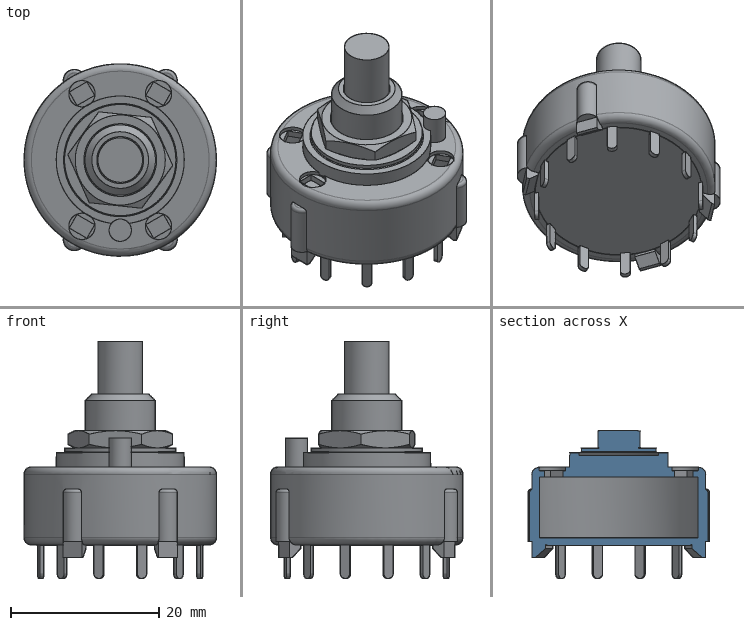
import cadquery as cq
import math

CUT_MARGIN = 0.32
JOINT = 0.32

housing_diameter = 26.0
housing_height = 10.53
housing_edge_radius = 1.0
housing_wall = 1.0
housing_floor = 1.0
base_plate_diameter = 22.45
base_plate_height = 0.1

flange_diameter = 17.28
flange_height = 1.92
flange_top = housing_height + flange_height
recess_diameter = 15.3
recess_depth = 0.32
recess_floor = flange_top - recess_depth

washer_diameter = 15.0
washer_thickness = 0.5
washer_lift = 0.1
washer_bottom = flange_top + washer_lift
washer_top = washer_bottom + washer_thickness
washer_seat_diameter = 10.3
nut_across_corners = 14.25
nut_height = 2.4
nut_angle = -6.0
nut_bore_diameter = 9.82
nut_face_diameter = 12.15
nut_chamfer_height = 0.5
nut_top = washer_top + nut_height

bushing_diameter = 9.5
bushing_top = 20.4
bushing_chamfer = 0.93
bushing_bore_diameter = 6.35
bushing_bore_depth = 1.0
shaft_diameter = 6.0
terminal_length = 4.55
total_height = 32.0
shaft_top = total_height - terminal_length

locator_diameter = 3.0
locator_distance = 9.47
locator_top = 14.4

clip_angles = [60, 120, 240, 300]
pocket_distance = 10.35
pocket_diameter = 3.55
pocket_depth = 0.5
window_length = 2.75
window_width = 2.1
window_depth = 0.85
boss_diameter = 3.0
boss_distance = 12.4
boss_bottom = 0.45
boss_top = 7.55
boss_edge_radius = 0.48
hook_width = 2.9
hook_outer_distance = 12.9
hook_bottom = -1.73
hook_tip_width = 0.4
hook_bevel_length = 1.2
hook_bevel_height = 1.25
hook_skew_angle = 9.0

cavity_diameter = housing_diameter - 2 * housing_wall
cavity_top = housing_height - pocket_depth - window_depth

terminal_count = 12
terminal_distance = 11.1
terminal_width = 1.3
terminal_thickness = 0.55


def cylinder(diameter, bottom, top):
    """Upright cylinder on the shaft axis."""
    return cq.Workplane("XY").workplane(offset=bottom).circle(diameter / 2).extrude(top - bottom)


def ring_copies(shape, angles):
    """Union of a shape built on the +X side, turned to each angle about the shaft axis."""
    copies = cq.Workplane("XY")
    for angle in angles:
        copies = copies.add(shape.rotate((0, 0, 0), (0, 0, 1), angle))
    return copies.combine()


def make_housing():
    """Hollow body with side bosses, flange, top pockets and a thin plate underneath."""
    housing = cylinder(housing_diameter, 0, housing_height)
    housing = housing.faces("<Z or >Z").edges().fillet(housing_edge_radius)
    bosses = ring_copies(make_boss(), clip_angles)
    cavity = cylinder(cavity_diameter, housing_floor, cavity_top)
    pockets = ring_copies(make_pocket(), clip_angles)
    base_plate = cylinder(base_plate_diameter, -base_plate_height, JOINT)
    flange = cylinder(flange_diameter, housing_height - JOINT, flange_top)
    recess = cylinder(recess_diameter, recess_floor, flange_top + CUT_MARGIN)
    hollow_body = housing.union(bosses).cut(cavity).cut(pockets)
    return hollow_body.union(base_plate).union(flange).cut(recess)


def make_washer():
    """Washer held just clear of the flange by a smaller seat in the recess."""
    seat = cylinder(washer_seat_diameter, recess_floor, washer_bottom)
    return cylinder(washer_diameter, washer_bottom, washer_top).union(seat)


def make_nut():
    """Hex nut whose corners are turned down to a cone at both faces."""
    hexagon = (
        cq.Workplane("XY")
        .workplane(offset=washer_top)
        .polygon(6, nut_across_corners)
        .extrude(nut_height)
        .rotate((0, 0, 0), (0, 0, 1), nut_angle)
    )
    face_radius = nut_face_diameter / 2
    corner_radius = nut_across_corners / 2
    turned_blank = (
        cq.Workplane("XZ")
        .moveTo(0, washer_top)
        .lineTo(face_radius, washer_top)
        .lineTo(corner_radius, washer_top + nut_chamfer_height)
        .lineTo(corner_radius, nut_top - nut_chamfer_height)
        .lineTo(face_radius, nut_top)
        .lineTo(0, nut_top)
        .close()
        .revolve(360, (0, 0, 0), (0, 1, 0))
    )
    bore = cylinder(nut_bore_diameter, washer_top, nut_top)
    return hexagon.intersect(turned_blank).cut(bore)


def make_bushing_and_shaft():
    bushing = cylinder(bushing_diameter, recess_floor - JOINT, bushing_top)
    bushing = bushing.faces(">Z").edges().chamfer(bushing_chamfer)
    bore_floor = bushing_top - bushing_bore_depth
    bore = cylinder(bushing_bore_diameter, bore_floor, bushing_top)
    shaft = cylinder(shaft_diameter, bore_floor - JOINT, shaft_top)
    return bushing.cut(bore).union(shaft)


def make_locator():
    locator = cylinder(locator_diameter, housing_height - JOINT, locator_top)
    return locator.translate((0, -locator_distance, 0))


def make_pocket():
    """Shallow round pocket with a deeper rectangular window in its floor."""
    floor = housing_height - pocket_depth
    round_part = cylinder(pocket_diameter, floor, housing_height + CUT_MARGIN)
    window = (
        cq.Workplane("XY")
        .workplane(offset=floor)
        .rect(window_width, window_length)
        .extrude(-window_depth)
    )
    return round_part.union(window).translate((pocket_distance, 0, 0))


def make_boss():
    boss = cylinder(boss_diameter, boss_bottom, boss_top)
    return boss.faces(">Z").edges().fillet(boss_edge_radius).translate((boss_distance, 0, 0))


def make_hook():
    """Clip end below a side boss, skewed in plan and bevelled on its inner side."""
    tip_inner = hook_outer_distance - hook_tip_width
    inner = tip_inner - hook_bevel_length
    side_profile = (
        cq.Workplane("XZ")
        .moveTo(hook_outer_distance, boss_bottom)
        .lineTo(hook_outer_distance, hook_bottom)
        .lineTo(tip_inner, hook_bottom)
        .lineTo(inner, hook_bottom + hook_bevel_height)
        .lineTo(inner, boss_bottom)
        .close()
        .extrude(hook_width, both=True)
    )
    half_width = hook_width / 2
    skew = (hook_outer_distance - inner) * math.tan(math.radians(hook_skew_angle))
    plan = (
        cq.Workplane("XY")
        .workplane(offset=hook_bottom)
        .moveTo(hook_outer_distance, half_width)
        .lineTo(inner, half_width - skew)
        .lineTo(inner, -half_width - skew)
        .lineTo(hook_outer_distance, -half_width)
        .close()
        .extrude(boss_bottom - hook_bottom)
    )
    return side_profile.intersect(plan)


def make_hooks():
    """Four hooks, mirrored about the XZ and YZ planes."""
    hook = ring_copies(make_hook(), clip_angles[:1])
    pair = hook.union(hook.mirror("XZ"))
    return pair.union(pair.mirror("YZ"))


def make_terminal():
    """Flat blade with a fully rounded tip."""
    half_width = terminal_width / 2
    return (
        cq.Workplane("YZ")
        .workplane(offset=terminal_distance - terminal_thickness / 2)
        .moveTo(-half_width, JOINT)
        .lineTo(-half_width, half_width - terminal_length)
        .threePointArc((0, -terminal_length), (half_width, half_width - terminal_length))
        .lineTo(half_width, JOINT)
        .close()
        .extrude(terminal_thickness)
    )


terminal_pitch = 360 / terminal_count
terminal_angles = [(i + 0.5) * terminal_pitch for i in range(terminal_count)]

result = (
    make_housing()
    .union(make_washer())
    .union(make_nut())
    .union(make_bushing_and_shaft())
    .union(make_locator())
    .union(make_hooks())
    .union(ring_copies(make_terminal(), terminal_angles))
)